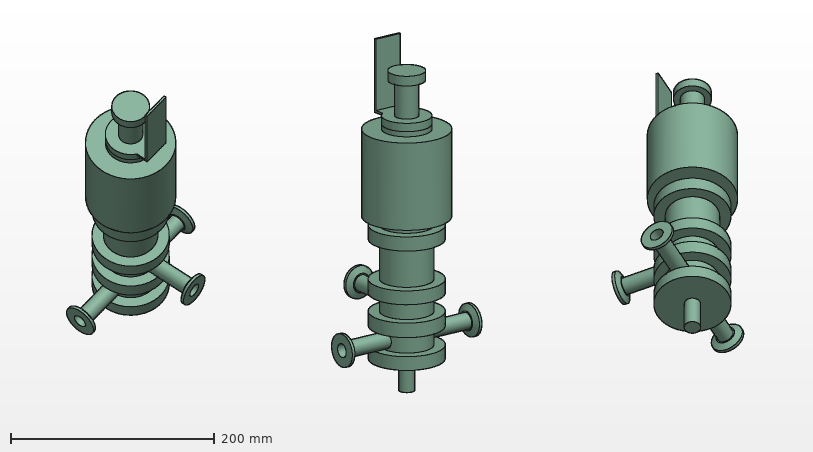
import cadquery as cq

barrel_bottom = 33.0
barrel_diameter = 54.0
clamp_diameter = 76.0
clamp_spans = [(barrel_bottom, 47.5), (67.0, 82.2), (101.3, 115.5), (157.0, 171.5)]
actuator_bottom = 180.5
actuator_top = 271.0
actuator_diameter = 89.0
drain_diameter = 16.0

collar_diameter = 50.0
collar_seam = 276.5
collar_top = 285.0

port_reach = 80.0
port_diameter = 17.2
port_bore = 14.0
ferrule_diameter = 34.0
ferrule_rim = 3.2
ferrule_length = 6.5
ferrule_neck_diameter = 20.0
upper_port_height = 91.5
lower_port_height = 57.0
port_places = [(upper_port_height, 0), (lower_port_height, 90), (lower_port_height, -90)]

stem_diameter = 24.0
cap_diameter = 37.5
cap_bottom = 321.7
cap_top = 331.8
flag_outer_x = 32.5
flag_thickness = 2.5
flag_width = 30.0
flag_top = 359.0


def cylinder(diameter, bottom, top):
    """Upright cylinder on the main axis."""
    return cq.Workplane("XY").workplane(offset=bottom).circle(diameter / 2).extrude(top - bottom)


def place_port(shape, height, angle):
    """Turn a shape lying along +X to its port direction and lift it to its height."""
    return shape.rotate((0, 0, 0), (0, 0, 1), angle).translate((0, 0, height))


def make_port():
    """Solid pipe and ferrule along +X, starting on the main axis."""
    profile = [
        (0, 0),
        (0, port_diameter / 2),
        (port_reach - ferrule_length, port_diameter / 2),
        (port_reach - ferrule_length, ferrule_neck_diameter / 2),
        (port_reach - ferrule_rim, ferrule_diameter / 2),
        (port_reach, ferrule_diameter / 2),
        (port_reach, 0),
    ]
    return cq.Workplane("XY").polyline(profile).close().revolve(360, (0, 0, 0), (1, 0, 0))


def make_port_bore():
    """Blind bore from the ferrule face to the barrel wall."""
    barrel_radius = barrel_diameter / 2
    bore = cq.Workplane("YZ").workplane(offset=barrel_radius).circle(port_bore / 2)
    return bore.extrude(port_reach - barrel_radius)


def make_valve():
    """Barrel, clamps, actuator, lower collar, drain stub and side ports."""
    valve = cylinder(drain_diameter, 0, barrel_bottom)
    valve = valve.union(cylinder(barrel_diameter, barrel_bottom, actuator_bottom))
    for bottom, top in clamp_spans:
        valve = valve.union(cylinder(clamp_diameter, bottom, top))
    valve = valve.union(cylinder(actuator_diameter, actuator_bottom, actuator_top))
    valve = valve.union(cylinder(collar_diameter, actuator_top, collar_seam))
    for height, angle in port_places:
        valve = valve.union(place_port(make_port(), height, angle))
    for height, angle in port_places:
        valve = valve.cut(place_port(make_port_bore(), height, angle))
    return valve


def make_flag():
    """L-shaped sheet: a foot level with the collar top and an upright plate."""
    foot_bottom = collar_top - flag_thickness
    profile = [
        (0, foot_bottom),
        (flag_outer_x, foot_bottom),
        (flag_outer_x, flag_top),
        (flag_outer_x - flag_thickness, flag_top),
        (flag_outer_x - flag_thickness, collar_top),
        (0, collar_top),
    ]
    return cq.Workplane("XZ").polyline(profile).close().extrude(flag_width / 2, both=True)


def make_indicator():
    """Upper collar with its flag, stem and cap."""
    indicator = cylinder(collar_diameter, collar_seam, collar_top)
    indicator = indicator.union(make_flag())
    indicator = indicator.union(cylinder(stem_diameter, collar_top, cap_bottom))
    return indicator.union(cylinder(cap_diameter, cap_bottom, cap_top))


valve = make_valve()
indicator = make_indicator()

result = cq.Compound.makeCompound([valve.solids().val(), indicator.solids().val()])